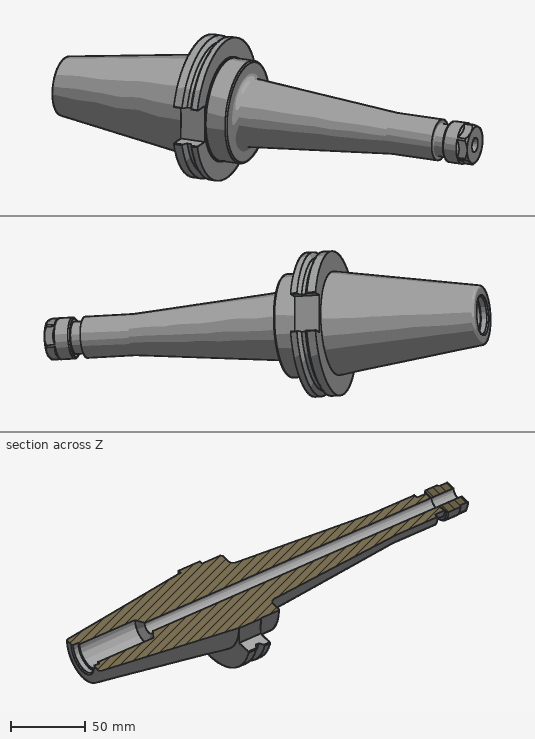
import cadquery as cq
import math


GAUGE_DIA = 69.85
TAPER_RATIO = 7 / 24
TAPER_LENGTH = 101.75
SHANK_END_DIA = GAUGE_DIA - TAPER_RATIO * TAPER_LENGTH
SHANK_END_FILLET = 2.0

FLANGE_DIA = 97.5
FLANGE_FRONT_X = 1.5
FLANGE_BACK_X = 19.05
GROOVE_X = 11.1
GROOVE_BOTTOM_DIA = 90.0
GROOVE_BOTTOM_WIDTH = 2.7
GROOVE_FLANK_ANGLE = 30.0

SLOT_WIDTH = 25.4
SLOT_EDGE_CHAMFER = 0.6
SLOT_FLOOR_MINUS_Y = 35.4
SLOT_FLOOR_PLUS_Y = 37.7

SHOULDER_DIA = 70.0
SHOULDER_END_X = 35.0
SHOULDER_CHAMFER = 1.0
NOSE_DIA = 28.0
NOSE_ROOT_DIA = 46.3
NOSE_ROOT_FILLET = 4.0
NOSE_TAPER_END_X = 143.5
NOSE_END_X = 177.5

NECK_DIA = 22.0

CORNER_FILLET = 0.8

THROUGH_DIA = 9.73
PILOT_DIA = 25.4
PILOT_MOUTH_DIA = 27.4
PILOT_DEPTH = 5.0
THREAD_DIA = 21.97
THREAD_DEPTH = 50.0
DRILL_POINT_ANGLE = 118.0

TOTAL_LENGTH = 304.97
NUT_END_X = TOTAL_LENGTH - TAPER_LENGTH
NUT_DIA = 28.0
NUT_LENGTH = 18.0
NUT_START_X = NUT_END_X - NUT_LENGTH
NUT_BACK_CHAMFER = 1.0
NUT_COLLAR_LENGTH = 10.5
NUT_END_CHAMFER = 1.5
HEX_ACROSS_FLATS = 25.0


def revolve_about_x(points):
    """Turn a closed outline of (x, radius) points about the X axis."""
    return cq.Workplane("XY").polyline(points).close().revolve(360, (0, 0, 0), (1, 0, 0))


def cylinder(diameter, start_x, end_x):
    return cq.Workplane("YZ", origin=(start_x, 0, 0)).circle(diameter / 2).extrude(end_x - start_x)


def corner_fillet(corner_x, diameter):
    """Ring that rounds the inside corner of a +X face and the cylinder that leaves it."""
    radius = diameter / 2
    bulge = CORNER_FILLET * (1 - math.sqrt(0.5))
    return (
        cq.Workplane("XY")
        .moveTo(corner_x, radius)
        .lineTo(corner_x, radius + CORNER_FILLET)
        .threePointArc(
            (corner_x + bulge, radius + bulge),
            (corner_x + CORNER_FILLET, radius),
        )
        .lineTo(corner_x + CORNER_FILLET, radius - CORNER_FILLET)
        .lineTo(corner_x, radius - CORNER_FILLET)
        .close()
        .revolve(360, (0, 0, 0), (1, 0, 0))
    )


def shank():
    """Taper that runs past the gauge plane until it meets a short cylinder of shoulder size."""
    end_x = -TAPER_LENGTH
    taper_end_x = (SHOULDER_DIA - GAUGE_DIA) / TAPER_RATIO
    taper = revolve_about_x([
        (end_x, 0),
        (end_x, SHANK_END_DIA / 2),
        (taper_end_x, SHOULDER_DIA / 2),
        (FLANGE_FRONT_X, SHOULDER_DIA / 2),
        (FLANGE_FRONT_X, 0),
    ])
    return taper.faces("<X").edges().fillet(SHANK_END_FILLET)


def gripper_groove():
    flank_run = (FLANGE_DIA - GROOVE_BOTTOM_DIA) / 2 * math.tan(math.radians(GROOVE_FLANK_ANGLE))
    half_bottom = GROOVE_BOTTOM_WIDTH / 2
    half_top = half_bottom + flank_run
    return revolve_about_x([
        (GROOVE_X - half_top, FLANGE_DIA / 2),
        (GROOVE_X - half_bottom, GROOVE_BOTTOM_DIA / 2),
        (GROOVE_X + half_bottom, GROOVE_BOTTOM_DIA / 2),
        (GROOVE_X + half_top, FLANGE_DIA / 2),
    ])


def drive_slot(side, floor):
    """Slot cutter on one side (+1 or -1 along Y) with edges flared at the flange rim."""
    half_width = SLOT_WIDTH / 2
    half_mouth = half_width + SLOT_EDGE_CHAMFER
    mouth = math.sqrt((FLANGE_DIA / 2) ** 2 - half_mouth ** 2)
    outside = FLANGE_DIA
    half_outline = [
        (floor, half_width),
        (mouth - SLOT_EDGE_CHAMFER, half_width),
        (mouth, half_mouth),
        (outside, half_mouth),
    ]
    outline = half_outline + [(y, -z) for y, z in reversed(half_outline)]
    return (
        cq.Workplane("YZ", origin=(FLANGE_FRONT_X, 0, 0))
        .polyline([(side * y, z) for y, z in outline])
        .close()
        .extrude(FLANGE_BACK_X + CORNER_FILLET - FLANGE_FRONT_X)
    )


def flange():
    disc = cylinder(FLANGE_DIA, FLANGE_FRONT_X, FLANGE_BACK_X).cut(gripper_groove())
    filleted = disc.union(corner_fillet(FLANGE_BACK_X, SHOULDER_DIA))
    return filleted.cut(drive_slot(-1, SLOT_FLOOR_MINUS_Y)).cut(drive_slot(1, SLOT_FLOOR_PLUS_Y))


def shoulder():
    block = cylinder(SHOULDER_DIA, FLANGE_BACK_X, SHOULDER_END_X)
    return block.faces(">X").edges().chamfer(SHOULDER_CHAMFER)


def nose():
    """Slim cone with a filleted root that ends in a cylinder."""
    root_radius = NOSE_ROOT_DIA / 2
    fillet_end_x = SHOULDER_END_X + NOSE_ROOT_FILLET
    fillet_drop = NOSE_ROOT_FILLET * (1 - math.sqrt(0.5))
    radius = NOSE_DIA / 2
    profile = (
        cq.Workplane("XY")
        .moveTo(SHOULDER_END_X, 0)
        .lineTo(SHOULDER_END_X, root_radius + NOSE_ROOT_FILLET)
        .threePointArc(
            (SHOULDER_END_X + fillet_drop, root_radius + fillet_drop),
            (fillet_end_x, root_radius),
        )
        .lineTo(NOSE_TAPER_END_X, radius)
        .lineTo(NOSE_END_X, radius)
        .lineTo(NOSE_END_X, 0)
        .close()
    )
    return profile.revolve(360, (0, 0, 0), (1, 0, 0))


def bore():
    """Chamfered pilot, thread core with a drill point, and a through hole to the nut."""
    mouth_x = -TAPER_LENGTH
    mouth_chamfer = (PILOT_MOUTH_DIA - PILOT_DIA) / 2
    pilot_end_x = mouth_x + PILOT_DEPTH
    thread_end_x = mouth_x + THREAD_DEPTH
    cone_length = (THREAD_DIA - THROUGH_DIA) / 2 / math.tan(math.radians(DRILL_POINT_ANGLE / 2))
    return revolve_about_x([
        (mouth_x, 0),
        (mouth_x, PILOT_MOUTH_DIA / 2),
        (mouth_x + mouth_chamfer, PILOT_DIA / 2),
        (pilot_end_x, PILOT_DIA / 2),
        (pilot_end_x, THREAD_DIA / 2),
        (thread_end_x, THREAD_DIA / 2),
        (thread_end_x + cone_length, THROUGH_DIA / 2),
        (NUT_START_X, THROUGH_DIA / 2),
        (NUT_START_X, 0),
    ])


def make_holder():
    neck = cylinder(NECK_DIA, NOSE_END_X, NUT_START_X).union(corner_fillet(NOSE_END_X, NECK_DIA))
    body = shank().union(flange()).union(shoulder()).union(nose()).union(neck)
    return body.cut(bore())


def make_nut():
    """Round collar, then a hexagonal grip whose flats run out on a 45 degree cone; bored through."""
    collar_end_x = NUT_START_X + NUT_COLLAR_LENGTH
    radius = NUT_DIA / 2
    turned = revolve_about_x([
        (NUT_START_X, 0),
        (NUT_START_X, radius - NUT_BACK_CHAMFER),
        (NUT_START_X + NUT_BACK_CHAMFER, radius),
        (NUT_END_X - NUT_END_CHAMFER, radius),
        (NUT_END_X, radius - NUT_END_CHAMFER),
        (NUT_END_X, 0),
    ])
    collar = revolve_about_x([
        (NUT_START_X, 0),
        (NUT_START_X, radius),
        (collar_end_x, radius),
        (collar_end_x + radius, 0),
    ])
    hex_across_corners = HEX_ACROSS_FLATS / math.cos(math.pi / 6)
    hexagon = (
        cq.Workplane("YZ", origin=(NUT_START_X, 0, 0))
        .transformed(rotate=(0, 0, 90))
        .polygon(6, hex_across_corners)
        .extrude(NUT_LENGTH)
    )
    grip_and_collar = turned.intersect(hexagon.union(collar))
    return grip_and_collar.cut(cylinder(THROUGH_DIA, NUT_START_X, NUT_END_X))


holder = make_holder()
nut = make_nut()

result = cq.Compound.makeCompound([holder.val(), nut.val()])